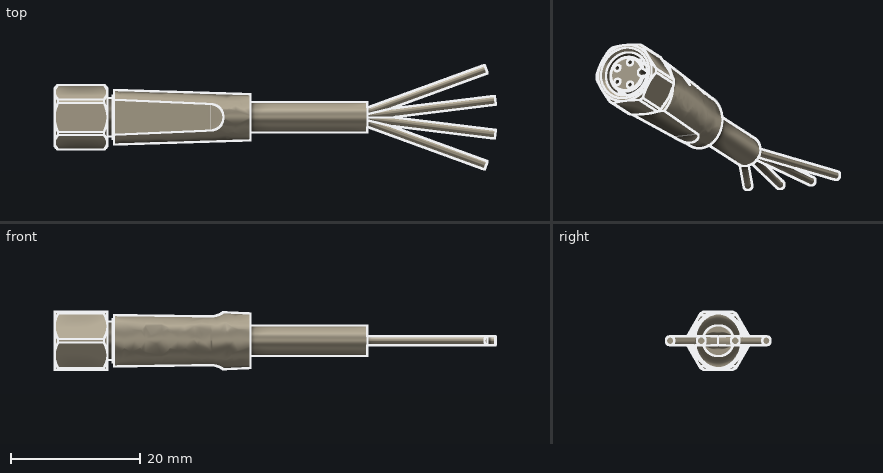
import cadquery as cq
import math


NUT_LENGTH = 8.2
NUT_ACROSS_FLATS = 9.0
NUT_CORNER_RADIUS = 5.03
NUT_CHAMFER = NUT_CORNER_RADIUS - NUT_ACROSS_FLATS / 2
BORE_RADIUS = 3.45
BORE_MOUTH_RADIUS = 4.05
BORE_MOUTH_DEPTH = BORE_MOUTH_RADIUS - BORE_RADIUS
BORE_DEPTH = 5.0

INSERT_RADIUS = 2.8
INSERT_CHAMFER = 0.2
INSERT_RECESS = BORE_MOUTH_DEPTH
CONTACT_RADIUS = 0.5
CONTACT_CIRCLE_RADIUS = 1.9
CONTACT_ANGLES = (36, 108, -36, -108)
CONTACT_DEPTH = 3.0
KEYWAY_RADIUS = 0.6
KEYWAY_OFFSET = 2.5

NECK_RADIUS = 3.0

GRIP_START = 9.2
GRIP_END = 30.4
GRIP_START_WIDTH = 8.5
GRIP_START_HEIGHT = 10.4
GRIP_END_WIDTH = 7.2
GRIP_END_HEIGHT = 8.5
FLAT_END = 24.15
FLAT_START_HALF_HEIGHT = 4.0
FLAT_END_HALF_HEIGHT = 3.8
RUNOUT_RADIUS = 3.4
COLLAR_THICKNESS = 0.2
COLLAR_RADIUS = 3.4

CABLE_RADIUS = 2.4
CABLE_END = 48.5
WIRE_RADIUS = 0.7
WIRE_EMBED = 1.0
INNER_WIRE_ANGLE = 7.0
INNER_WIRE_OFFSET = 0.2
INNER_WIRE_LENGTH = 20.0
OUTER_WIRE_ANGLE = 20.0
OUTER_WIRE_OFFSET = 0.765
OUTER_WIRE_LENGTH = 19.6


def cylinder(radius, start, end, y=0.0, z=0.0):
    """Cylinder parallel to X between two X positions."""
    plane = cq.Workplane("YZ", origin=(start, 0, 0))
    return plane.center(y, z).circle(radius).extrude(end - start)


def make_nut():
    corner_diameter = NUT_ACROSS_FLATS / math.cos(math.radians(30))
    hexagon = cq.Workplane("YZ").polygon(6, corner_diameter).extrude(NUT_LENGTH)
    turned = cylinder(NUT_CORNER_RADIUS, 0, NUT_LENGTH).edges("%CIRCLE").chamfer(NUT_CHAMFER)
    bore_profile = [
        (0, 0),
        (0, BORE_MOUTH_RADIUS),
        (BORE_MOUTH_DEPTH, BORE_RADIUS),
        (BORE_DEPTH, BORE_RADIUS),
        (BORE_DEPTH, 0),
    ]
    bore = cq.Workplane("XY").polyline(bore_profile).close().revolve(360, (0, 0), (1, 0))
    return hexagon.intersect(turned).cut(bore)


def make_insert():
    insert = cylinder(INSERT_RADIUS, INSERT_RECESS, BORE_DEPTH).faces("<X").chamfer(INSERT_CHAMFER)
    socket_end = INSERT_RECESS + CONTACT_DEPTH
    for angle in CONTACT_ANGLES:
        y = CONTACT_CIRCLE_RADIUS * math.cos(math.radians(angle))
        z = CONTACT_CIRCLE_RADIUS * math.sin(math.radians(angle))
        insert = insert.cut(cylinder(CONTACT_RADIUS, INSERT_RECESS, socket_end, y, z))
    return insert.cut(cylinder(KEYWAY_RADIUS, INSERT_RECESS, socket_end, -KEYWAY_OFFSET))


def make_flat_cutter():
    """Material above the top flat, ending in a concave arc tangent to the flat."""
    arc_middle = math.radians(45)
    slope = math.atan2(FLAT_START_HALF_HEIGHT - FLAT_END_HALF_HEIGHT, FLAT_END - GRIP_START)
    center_x = FLAT_END + RUNOUT_RADIUS * math.sin(slope)
    center_z = FLAT_END_HALF_HEIGHT + RUNOUT_RADIUS * math.cos(slope)
    mid_x = center_x + RUNOUT_RADIUS * math.sin(arc_middle)
    mid_z = center_z - RUNOUT_RADIUS * math.cos(arc_middle)
    return (
        cq.Workplane("XZ")
        .moveTo(GRIP_START, FLAT_START_HALF_HEIGHT)
        .lineTo(FLAT_END, FLAT_END_HALF_HEIGHT)
        .threePointArc((mid_x, mid_z), (center_x + RUNOUT_RADIUS, center_z))
        .lineTo(GRIP_START, center_z)
        .close()
        .extrude(GRIP_START_WIDTH, both=True)
    )


def make_grip():
    grip = (
        cq.Workplane("YZ", origin=(GRIP_START, 0, 0))
        .ellipse(GRIP_START_WIDTH / 2, GRIP_START_HEIGHT / 2)
        .workplane(offset=GRIP_END - GRIP_START)
        .ellipse(GRIP_END_WIDTH / 2, GRIP_END_HEIGHT / 2)
        .loft(ruled=True)
    )
    flat_cutter = make_flat_cutter()
    grip = grip.cut(flat_cutter).cut(flat_cutter.mirror("XY"))
    return grip.union(cylinder(COLLAR_RADIUS, GRIP_START - COLLAR_THICKNESS, GRIP_START))


def make_wire(angle, offset, length, side):
    """Straight wire leaving the cable end; side is +1 toward +Y or -1 toward -Y."""
    run = math.cos(math.radians(angle))
    rise = math.sin(math.radians(angle))
    direction = cq.Vector(run, side * rise, 0)
    start = cq.Vector(CABLE_END, side * offset, 0) - direction * WIRE_EMBED
    return cq.Workplane(cq.Solid.makeCylinder(WIRE_RADIUS, length + WIRE_EMBED, start, direction))


result = make_nut().union(make_insert())
result = result.union(cylinder(NECK_RADIUS, NUT_LENGTH, GRIP_START)).union(make_grip())
result = result.union(cylinder(CABLE_RADIUS, GRIP_END, CABLE_END))
for side in (1, -1):
    result = result.union(make_wire(INNER_WIRE_ANGLE, INNER_WIRE_OFFSET, INNER_WIRE_LENGTH, side))
    result = result.union(make_wire(OUTER_WIRE_ANGLE, OUTER_WIRE_OFFSET, OUTER_WIRE_LENGTH, side))